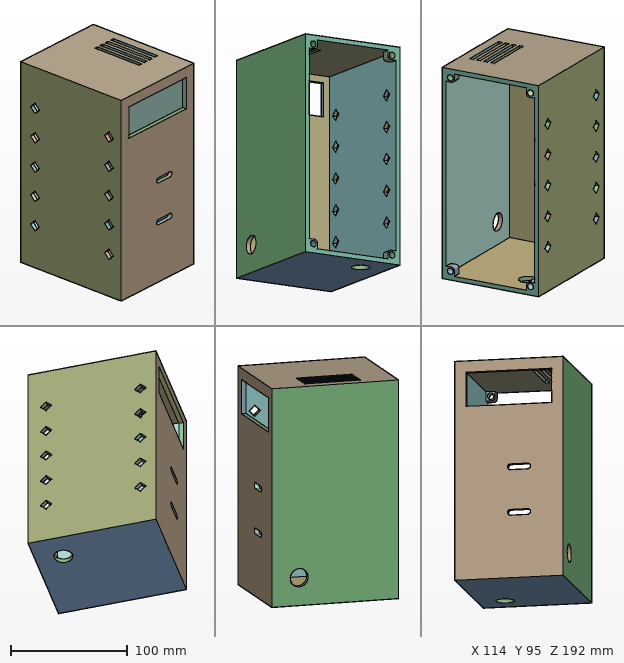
import cadquery as cq

length = 114.0
width = 95.0
height = 192.0
wall = 4.0

boss_size = 8.0
boss_corner_radius = 3.0
boss_hole_diameter = 5.5

window_width = 75.0
window_height = 30.0
window_top_margin = 10.0
slot_length = 20.0
slot_height = 5.0
slot_center_y = 56.5
lower_slot_z = 57.5
slot_pitch = 40.0
slot_count = 2

diamond_side = 7.0
diamond_first_x = 16.1
diamond_first_z = 40.3
diamond_columns = 2
diamond_column_pitch = 84.0
diamond_rows = 5
diamond_row_pitch = 28.0

vent_length = 50.0
vent_width = 3.5
vent_start_x = 31.1
vent_pitch = 7.0
vent_count = 4
first_vent_y = 83.7

cable_hole_diameter = 16.0
cable_hole_inset = 24.5

cut_depth = 2 * wall


def shell():
    """Box with equal walls, open at X = 0."""
    outer = cq.Workplane("XY").box(length, width, height, centered=False)
    cavity = (
        cq.Workplane("XY")
        .box(length - wall, width - 2 * wall, height - 2 * wall, centered=False)
        .translate((0, wall, wall))
    )
    return outer.cut(cavity)


def boss():
    """Drilled boss for the corner at Y = 0, Z = 0, rounded on its free edge."""
    block = (
        cq.Workplane("XY")
        .box(boss_size, boss_size, boss_size, centered=False)
        .edges("|X and >Y and >Z")
        .fillet(boss_corner_radius)
    )
    hole = (
        cq.Workplane("YZ")
        .center(boss_size / 2, boss_size / 2)
        .circle(boss_hole_diameter / 2)
        .extrude(boss_size)
    )
    return block.cut(hole).translate((0, wall, wall))


def bosses():
    """Four bosses mirrored about the middle of the box."""
    middle = (0, width / 2, height / 2)
    lower = boss().union(boss().mirror("XZ", middle))
    return lower.union(lower.mirror("XY", middle))


def panel_openings():
    """Window and rounded slots through the +X panel."""
    panel = cq.Workplane("YZ", origin=(length - cut_depth, 0, 0))
    window_z = height - window_top_margin - window_height / 2
    openings = (
        panel.center(width / 2, window_z).rect(window_width, window_height).extrude(2 * cut_depth)
    )
    slot_centers = [(slot_center_y, lower_slot_z + i * slot_pitch) for i in range(slot_count)]
    slots = panel.pushPoints(slot_centers).slot2D(slot_length, slot_height).extrude(2 * cut_depth)
    return openings.union(slots)


def diamond_holes():
    """Grid of square holes, turned 45 degrees, through the -Y wall."""
    diamond = (
        cq.Workplane("XZ", origin=(0, cut_depth, 0))
        .transformed(rotate=(0, 0, 45))
        .rect(diamond_side, diamond_side)
        .extrude(2 * cut_depth)
    )
    holes = cq.Workplane("XY")
    for column in range(diamond_columns):
        for row in range(diamond_rows):
            x = diamond_first_x + column * diamond_column_pitch
            z = diamond_first_z + row * diamond_row_pitch
            holes = holes.add(diamond.translate((x, 0, z)))
    return holes.combine()


def vents():
    """Parallel rectangular vents through the top wall."""
    vent_x = vent_start_x + vent_length / 2
    centers = [(vent_x, first_vent_y - i * vent_pitch) for i in range(vent_count)]
    return (
        cq.Workplane("XY", origin=(0, 0, height - cut_depth))
        .pushPoints(centers)
        .rect(vent_length, vent_width)
        .extrude(2 * cut_depth)
    )


def cable_holes():
    """One round hole through the +Y wall and one through the floor."""
    radius = cable_hole_diameter / 2
    side_hole = (
        cq.Workplane("XZ", origin=(0, width + cut_depth, 0))
        .center(length - cable_hole_inset, cable_hole_inset)
        .circle(radius)
        .extrude(2 * cut_depth)
    )
    floor_hole = (
        cq.Workplane("XY", origin=(0, 0, -cut_depth))
        .center(cable_hole_inset, cable_hole_inset)
        .circle(radius)
        .extrude(2 * cut_depth)
    )
    return side_hole.union(floor_hole)


result = (
    shell()
    .union(bosses())
    .cut(panel_openings())
    .cut(diamond_holes())
    .cut(vents())
    .cut(cable_holes())
)